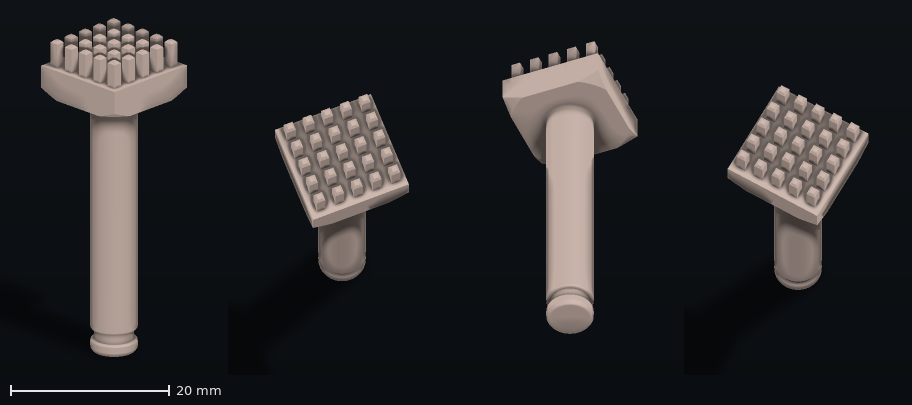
import cadquery as cq

total_height = 42.0

head_side = 13.0
head_height = 4.05
cone_start_radius = 7.5
cone_rise = 1.05

pin_count = 5
pin_row_length = 10.15
pin_side = 1.18
pin_height = 3.45
pin_chamfer = 0.3

shank_diameter = 6.0
groove_diameter = 5.0
groove_bottom = 1.65
groove_width = 1.4
groove_lip_fillet = 0.3
foot_taper_height = 0.5
foot_taper_inset = 0.3
foot_shoulder_fillet = 0.25
foot_end_fillet = 0.35
neck_fillet = 0.4

tolerance = 0.005

head_top = total_height - pin_height
head_bottom = head_top - head_height
shank_radius = shank_diameter / 2
foot_radius = shank_radius - foot_taper_inset
groove_radius = groove_diameter / 2
groove_top = groove_bottom + groove_width
pin_pitch = pin_row_length / (pin_count - 1)


def make_head():
    """Square block whose lower corners are cut back by a cone."""
    block = (
        cq.Workplane("XY", origin=(0, 0, head_bottom))
        .rect(head_side, head_side)
        .extrude(head_height)
    )
    corner_radius = head_side / 2 ** 0.5
    envelope = (
        cq.Workplane("XZ")
        .moveTo(0, head_bottom)
        .lineTo(cone_start_radius, head_bottom)
        .lineTo(corner_radius, head_bottom + cone_rise)
        .lineTo(corner_radius, head_top)
        .lineTo(0, head_top)
        .close()
        .revolve(360, (0, 0), (0, 1))
    )
    return block.intersect(envelope)


def round_rim(shank, radius, height, fillet):
    """Fillet the circular edge of the given radius at the given height."""
    def is_rim(edge):
        same_radius = abs(edge.radius() - radius) < tolerance
        same_height = abs(edge.Center().z - height) < tolerance
        return same_radius and same_height

    return shank.edges("%CIRCLE").filter(is_rim).fillet(fillet)


def make_shank():
    """Round shank with a tapered foot and a groove with rounded lips."""
    shank = (
        cq.Workplane("XZ")
        .lineTo(foot_radius, 0)
        .lineTo(shank_radius, foot_taper_height)
        .lineTo(shank_radius, groove_bottom)
        .lineTo(groove_radius, groove_bottom)
        .lineTo(groove_radius, groove_top)
        .lineTo(shank_radius, groove_top)
        .lineTo(shank_radius, head_bottom)
        .lineTo(0, head_bottom)
        .close()
        .revolve(360, (0, 0), (0, 1))
    )
    shank = round_rim(shank, shank_radius, groove_top, groove_lip_fillet)
    shank = round_rim(shank, shank_radius, groove_bottom, groove_lip_fillet)
    shank = round_rim(shank, shank_radius, foot_taper_height, foot_shoulder_fillet)
    return round_rim(shank, foot_radius, 0, foot_end_fillet)


def make_pins():
    """Square grid of chamfered pins standing on the head."""
    return (
        cq.Workplane("XY", origin=(0, 0, head_top))
        .rarray(pin_pitch, pin_pitch, pin_count, pin_count)
        .rect(pin_side, pin_side)
        .extrude(pin_height)
        .faces(">Z")
        .chamfer(pin_chamfer)
    )


def make_neck():
    """Concave fillet ring where the shank meets the head."""
    fillet_bottom = head_bottom - neck_fillet
    arc_offset = neck_fillet * (1 - 0.5 ** 0.5)
    return (
        cq.Workplane("XZ")
        .moveTo(0, fillet_bottom)
        .lineTo(shank_radius, fillet_bottom)
        .threePointArc(
            (shank_radius + arc_offset, head_bottom - arc_offset),
            (shank_radius + neck_fillet, head_bottom),
        )
        .lineTo(0, head_bottom)
        .close()
        .revolve(360, (0, 0), (0, 1))
    )


result = make_head().union(make_shank()).union(make_neck()).union(make_pins())